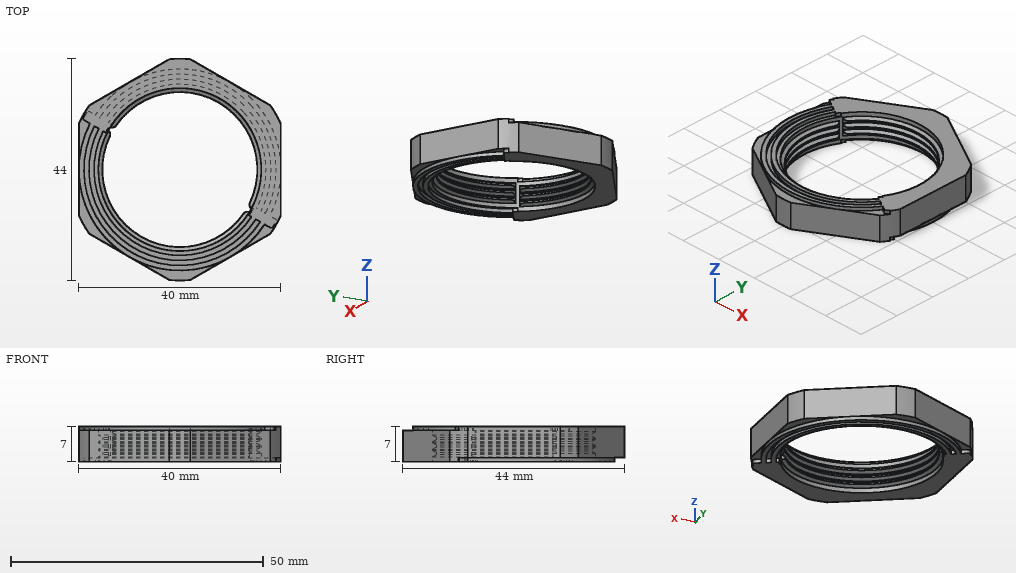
import cadquery as cq
import math


height = 7.0
across_flats = 40.0
corner_radius = 22.0
split_angle = -30.0

step_depth = 0.8
ring_outer_radius = 20.0
groove_outer_radius = 19.0
groove_inner_radius = 18.0
ring_inner_radius = 17.0

block_outer_radius = 21.7
block_inner_radius = 16.4
block_length = 1.0
block_corner_radius = 0.4

pitch = 1.5
ridge_count = 3
major_radius = 16.15
sharp_height = pitch * math.sqrt(3) / 2
minor_radius = major_radius - sharp_height * 5 / 8
crest_width = pitch / 4
flank_width = pitch * 5 / 16
entry_length = 1.0
thread_gap = 0.4
ridge_end_radius = 0.9

cutter_size = 2 * across_flats


def cylinder(radius, bottom, length):
    return cq.Workplane("XY").workplane(offset=bottom).circle(radius).extrude(length)


def tube(outer_radius, inner_radius, bottom, length):
    return cylinder(outer_radius, bottom, length).cut(cylinder(inner_radius, bottom, length))


def side_below(y_limit):
    """Everything at y < y_limit."""
    return (
        cq.Workplane("XY")
        .box(cutter_size, cutter_size, height, centered=(True, False, False))
        .translate((0, y_limit - cutter_size, 0))
    )


def half_body():
    """Half of the hexagon, with two of its corners on the split line."""
    across_corners = across_flats / math.cos(math.radians(30))
    hexagon = cq.Workplane("XY").polygon(6, across_corners).extrude(height)
    rounded = hexagon.intersect(cylinder(corner_radius, 0, height))
    return rounded.cut(cylinder(major_radius, 0, height)).intersect(side_below(0))


def end_blocks(bottom):
    """Short blocks beside the split line, with rounded outer corners."""
    blocks = tube(block_outer_radius, block_inner_radius, bottom, step_depth)
    blocks = blocks.intersect(side_below(0)).cut(side_below(-block_length))
    front_corners = blocks.faces("<Y").edges("|Z")
    outer_corners = front_corners.edges("<X or >X")
    return blocks.newObject(outer_corners.vals()).fillet(block_corner_radius)


def recesses():
    """Material taken off the stepped face of one half."""
    bottom = height - step_depth
    outside = tube(cutter_size, ring_outer_radius, bottom, step_depth)
    groove = tube(groove_outer_radius, groove_inner_radius, bottom, step_depth)
    inside = cylinder(ring_inner_radius, bottom, step_depth)
    return outside.union(groove).union(inside).cut(end_blocks(bottom))


def thread_ridge(bottom):
    """One trapezoidal ridge, starting at the given height and rooted in the bore wall."""
    root_radius = (major_radius + block_inner_radius) / 2
    return (
        cq.Workplane("XZ")
        .moveTo(root_radius, bottom)
        .lineTo(major_radius, bottom)
        .lineTo(minor_radius, bottom + flank_width)
        .lineTo(minor_radius, bottom + flank_width + crest_width)
        .lineTo(major_radius, bottom + 2 * flank_width + crest_width)
        .lineTo(root_radius, bottom + 2 * flank_width + crest_width)
        .close()
        .revolve(360, (0, 0, 0), (0, 1, 0))
    )


def ridge_limits():
    """Half ring with rounded inner corners, which rounds off the ridge ends."""
    ring = tube(ring_inner_radius, minor_radius, 0, height).intersect(side_below(-thread_gap))
    inner_corners = cq.selectors.BoxSelector(
        (-major_radius, -block_length, 0), (major_radius, 0, height)
    )
    return ring.edges("|Z").edges(inner_corners).fillet(ridge_end_radius)


def thread():
    """All ridges of one half, stopping short of the split line."""
    ridges = thread_ridge(entry_length)
    for index in range(1, ridge_count):
        ridges = ridges.union(thread_ridge(entry_length + index * pitch))
    return ridges.intersect(ridge_limits())


half = half_body().cut(recesses()).union(thread())
other_half = half.rotate((0, 0, 0), (1, 0, 0), 180).translate((0, 0, height))
result = half.union(other_half).rotate((0, 0, 0), (0, 0, 1), split_angle).solids()